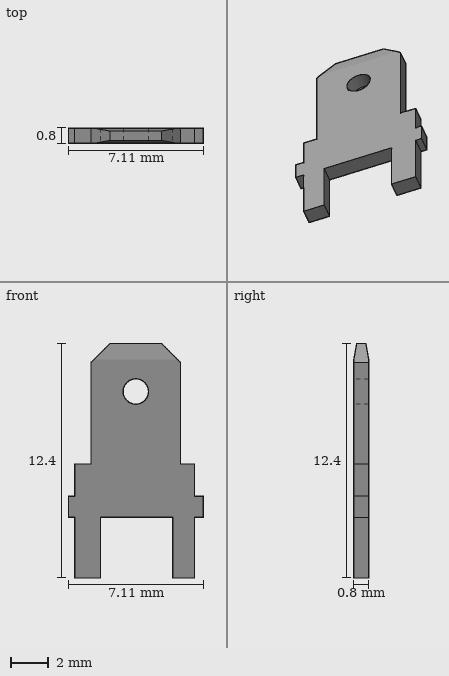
import cadquery as cq

height = 12.37
thickness = 0.8
overall_width = 7.11

blade_width = 4.74
corner_cut = 1.01
tip_thickness = 0.5
tip_height = 0.87
hole_diameter = 1.32
hole_z = 9.83

body_left = -3.23
body_right = 3.1
shoulder_z = 6.02
left_leg_width = 1.37
right_leg_width = 1.16
leg_length = 3.2

tab_height = 1.11


def plate(x_min, x_max, z_min, z_max):
    """Full-thickness rectangular plate, centred on Y = 0."""
    width = x_max - x_min
    tall = z_max - z_min
    return cq.Workplane("XY").box(width, thickness, tall).translate(
        ((x_min + x_max) / 2, 0, (z_min + z_max) / 2)
    )


def make_blade():
    """Blade with cut corners, a tip thinned on both faces and a through hole."""
    half_width = blade_width / 2
    half_thickness = thickness / 2
    blade = plate(-half_width, half_width, leg_length, height)
    blade = blade.edges("|Y and >Z").chamfer(corner_cut)

    side_profile = (
        cq.Workplane("YZ")
        .moveTo(-half_thickness, leg_length)
        .lineTo(half_thickness, leg_length)
        .lineTo(half_thickness, height - tip_height)
        .lineTo(tip_thickness / 2, height)
        .lineTo(-tip_thickness / 2, height)
        .lineTo(-half_thickness, height - tip_height)
        .close()
        .extrude(half_width, both=True)
    )
    hole = cq.Workplane("XZ", origin=(0, half_thickness, hole_z)).circle(hole_diameter / 2).extrude(thickness)
    return blade.intersect(side_profile).cut(hole)


body = plate(body_left, body_right, leg_length, shoulder_z)
tabs = plate(-overall_width / 2, overall_width / 2, leg_length, leg_length + tab_height)
left_leg = plate(body_left, body_left + left_leg_width, 0, leg_length)
right_leg = plate(body_right - right_leg_width, body_right, 0, leg_length)

result = make_blade().union(body).union(tabs).union(left_leg).union(right_leg).clean()